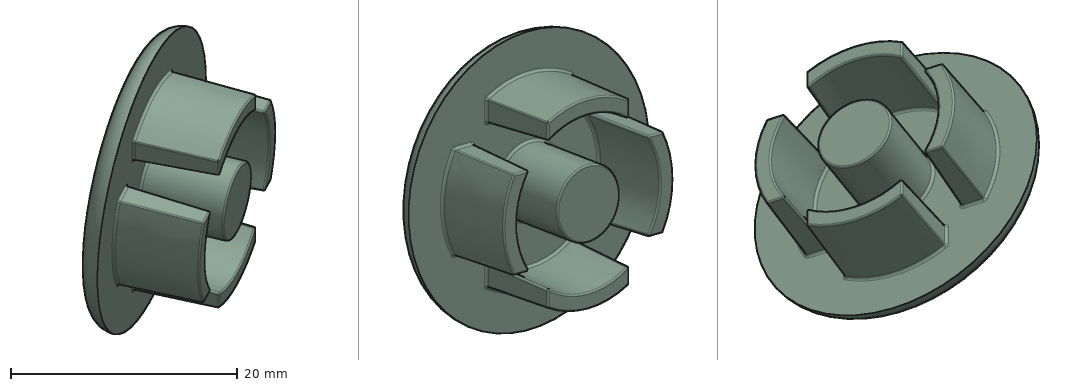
import cadquery as cq
import math

cap_radius = 14.0
rim_radius = 2.0
cap_thickness = 2.72
dome_edge_radius = 12.35

total_length = 10.78
tab_count = 4
outer_radius_base = 10.08
outer_radius_tip = 9.88
inner_radius_base = 8.1
inner_radius_tip = 8.32
half_width_base = 4.95
half_width_tip = 4.73

hub_radius = 3.65

base_fillet = 0.25
edge_fillet = 0.17


def make_cap():
    """Revolved disc with a shallow dome and a rounded rim."""
    arc_center_r = cap_radius - rim_radius
    edge_offset = dome_edge_radius - arc_center_r
    dome_drop = cap_thickness - math.sqrt(rim_radius**2 - edge_offset**2)
    dome_radius = (dome_edge_radius**2 + dome_drop**2) / (2 * dome_drop)
    dome_mid_r = dome_edge_radius / 2
    dome_mid_x = dome_radius - math.sqrt(dome_radius**2 - dome_mid_r**2)
    rim_mid = rim_radius * math.sqrt(0.5)
    return (
        cq.Workplane("XY")
        .moveTo(0, 0)
        .threePointArc((dome_mid_x, dome_mid_r), (dome_drop, dome_edge_radius))
        .threePointArc(
            (cap_thickness - rim_mid, arc_center_r + rim_mid),
            (cap_thickness, cap_radius),
        )
        .lineTo(cap_thickness, 0)
        .close()
        .revolve(360, (0, 0, 0), (1, 0, 0))
    )


def make_tab():
    """One tab on the +Z side: a conical ring trimmed to a tapering width."""
    ring = (
        cq.Workplane("XY")
        .moveTo(cap_thickness, inner_radius_base)
        .lineTo(total_length, inner_radius_tip)
        .lineTo(total_length, outer_radius_tip)
        .lineTo(cap_thickness, outer_radius_base)
        .close()
        .revolve(360, (0, 0, 0), (1, 0, 0))
    )
    wedge = (
        cq.Workplane("XY")
        .polyline([
            (cap_thickness, -half_width_base),
            (total_length, -half_width_tip),
            (total_length, half_width_tip),
            (cap_thickness, half_width_base),
        ])
        .close()
        .extrude(cap_radius)
    )
    return ring.intersect(wedge).edges("not <X").fillet(edge_fillet)


def make_hub():
    """Solid cylindrical hub with a rounded end."""
    hub = cq.Workplane("YZ", origin=(cap_thickness, 0, 0)).circle(hub_radius)
    return hub.extrude(total_length - cap_thickness).faces(">X").edges().fillet(edge_fillet)


def make_base_selector():
    """Selects the edges on the cap's back where the tabs and hub stand, but not the rim."""
    reach = outer_radius_base + base_fillet
    margin = base_fillet / 10
    return cq.selectors.BoxSelector(
        (cap_thickness - margin, -reach, -reach),
        (cap_thickness + margin, reach, reach),
        boundingbox=True,
    )


result = make_cap().union(make_hub())
tab = make_tab()
for index in range(tab_count):
    result = result.union(tab.rotate((0, 0, 0), (1, 0, 0), index * 360 / tab_count))
result = result.edges(make_base_selector()).fillet(base_fillet)